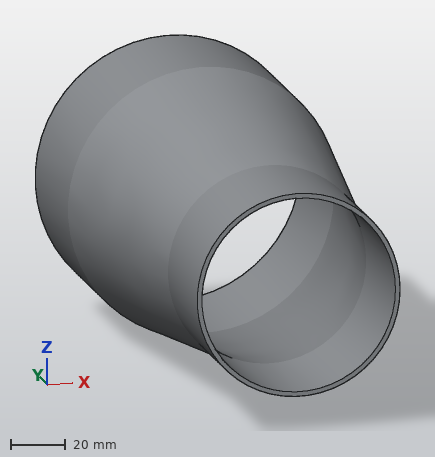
import cadquery as cq

length = 196.9
large_diameter = 101.6
small_diameter = 76.2
wall = 1.8
large_length = 50.8
small_length = 44.5

small_end = -length / 2
large_end = length / 2
cone_start = small_end + small_length
cone_end = large_end - large_length


def stepped_body(small_radius, large_radius):
    """Solid of revolution: small cylinder, cone, then large cylinder."""
    return (
        cq.Workplane("XY")
        .moveTo(0, small_end)
        .lineTo(small_radius, small_end)
        .lineTo(small_radius, cone_start)
        .lineTo(large_radius, cone_end)
        .lineTo(large_radius, large_end)
        .lineTo(0, large_end)
        .close()
        .revolve(360, (0, 0, 0), (0, 1, 0))
    )


outer_body = stepped_body(small_diameter / 2, large_diameter / 2)
bore = stepped_body(small_diameter / 2 - wall, large_diameter / 2 - wall)

result = outer_body.cut(bore)